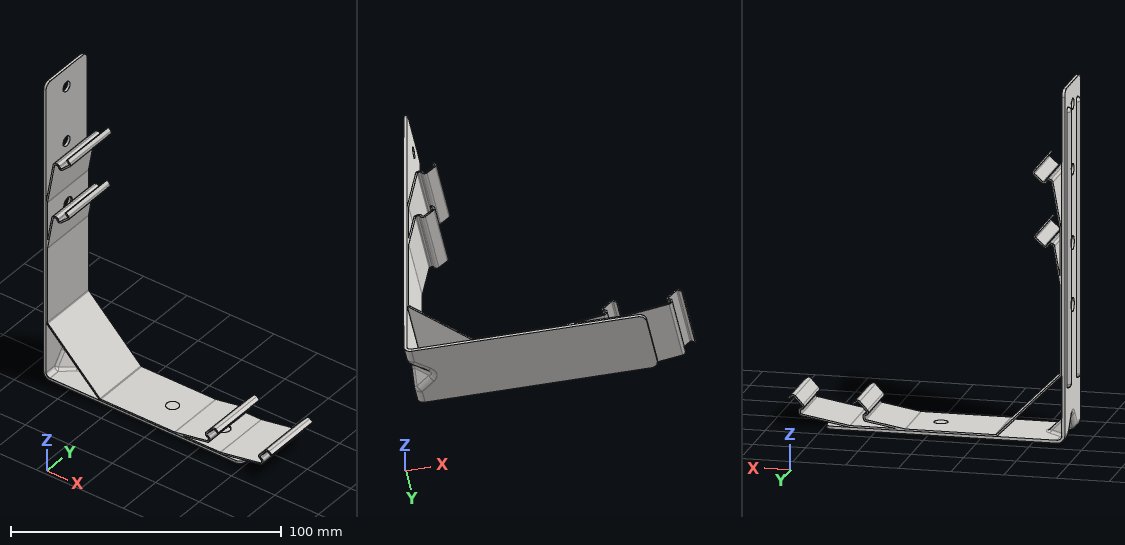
import cadquery as cq
import math

WIDTH = 25.5

UPRIGHT_HEIGHT = 135.4
BASE_LENGTH = 91.0
SHEET = 1.2
BEND_RADIUS = 3.0
CORNER_RADIUS = 2.7

GUSSET_REACH = 9.6
GUSSET_SLOPE = 0.8
GUSSET_TIP_RADIUS = 1.9

BEAD_HEIGHT = 1.2
BEAD_WIDTH = 3.4
BEAD_BOTTOM = 20.0
BEAD_TOP = 127.7
BEAD_OFFSET = 7.6

MOUNTING_HOLE = 4.2
MOUNTING_HEIGHTS = [126.9, 101.8]

CLIP_HOLE = 5.1
INNER_HOLE = 50.0
OUTER_HOLE = 73.6

STRIP = 0.7
DIAGONAL_FOOT = 26.0
INNER_BEND = 60.5
OUTER_BEND = 81.5
INNER_ARM = 15.5
OUTER_ARM = 19.0
ARM_ANGLE = 10.0
ARM_ROOT = 1.4
STRIP_BEND_RADIUS = 0.8

HOOK_STEPS = [(0.4, 1.9), (-2.0, 1.0), (4.2, 4.6), (1.9, -1.5)]

STRIP_MIDDLE = SHEET + STRIP / 2
GUSSET_SHIFT = SHEET * math.sqrt(1 + 2 * GUSSET_SLOPE**2) / GUSSET_SLOPE


def gusset_prism(reach, tip_radius):
    """V-shaped prism that runs diagonally across the corner, from one leg to the other."""
    across = cq.Plane(origin=(0, 0, 0), xDir=(0, 1, 0), normal=(1, 0, -1))
    tip = reach / math.sqrt(2)
    foot = -tip
    half_width = GUSSET_SLOPE * 2 * reach
    prism = (
        cq.Workplane(across)
        .polyline([(-half_width, foot), (half_width, foot), (0, tip)])
        .close()
        .extrude(2 * reach, both=True)
    )
    tip_edge = cq.selectors.NearestToPointSelector((reach / 2, 0, reach / 2))
    return prism.edges(tip_edge).fillet(tip_radius)


def corner_block(inset, reach, tip_radius, bend_radius):
    """Block between the legs, bounded by one skin of the bent and pressed sheet."""
    block = (
        cq.Workplane("XY")
        .box(BASE_LENGTH, WIDTH, UPRIGHT_HEIGHT, centered=(False, True, False))
        .translate((inset, 0, inset))
        .cut(gusset_prism(reach, tip_radius))
    )
    upright_edges = block.faces("<X").edges("not (<Y or >Y or >Z)").vals()
    base_edges = block.faces("<Z").edges("not (<Y or >Y or >X)").vals()
    base_edges = [edge for edge in base_edges if edge.Center().x > inset + SHEET / 10]
    return block.newObject(upright_edges + base_edges).fillet(bend_radius)


def bent_sheet():
    outer = corner_block(0, GUSSET_REACH, GUSSET_TIP_RADIUS, BEND_RADIUS)
    inner = corner_block(
        SHEET, GUSSET_REACH + GUSSET_SHIFT, GUSSET_TIP_RADIUS + SHEET, BEND_RADIUS - SHEET
    )
    sheet = outer.cut(inner)
    sheet = sheet.faces(">Z").edges("|X").fillet(CORNER_RADIUS)
    return sheet.faces(">X").edges("|Z").fillet(CORNER_RADIUS)


def bead(y):
    """Round bar with domed ends, of which only the part outside the upright stands proud."""
    half_width = BEAD_WIDTH / 2
    radius = (half_width**2 + BEAD_HEIGHT**2) / (2 * BEAD_HEIGHT)
    axis_x = radius - BEAD_HEIGHT
    lower = BEAD_BOTTOM + half_width
    upper = BEAD_TOP - half_width
    bar = cq.Workplane("XY", origin=(axis_x, y, lower)).circle(radius).extrude(upper - lower)
    for z in (lower, upper):
        bar = bar.union(cq.Workplane("XY", origin=(axis_x, y, z)).sphere(radius))
    proud_zone = (
        cq.Workplane("XY")
        .box(BEAD_HEIGHT + SHEET / 2, 2 * BEAD_WIDTH, UPRIGHT_HEIGHT, centered=(False, True, False))
        .translate((-BEAD_HEIGHT, y, 0))
    )
    return bar.intersect(proud_zone)


def upright_hole(z, diameter):
    depth = SHEET + STRIP
    return cq.Workplane("YZ", origin=(0, 0, z)).circle(diameter / 2).extrude(depth)


def base_hole(x):
    depth = SHEET + STRIP
    return cq.Workplane("XY", origin=(x, 0, 0)).circle(CLIP_HOLE / 2).extrude(depth)


bracket = bent_sheet()
for side in (-1, 1):
    bracket = bracket.union(bead(side * BEAD_OFFSET))
for height in MOUNTING_HEIGHTS:
    bracket = bracket.cut(upright_hole(height, MOUNTING_HOLE))
for height in (INNER_HOLE, OUTER_HOLE):
    bracket = bracket.cut(upright_hole(height, CLIP_HOLE))


def arm_points(bend, length):
    """Middle line of an arm and its hook, as (along the leg, away from the leg)."""
    along = bend + length
    away = STRIP_MIDDLE + length * math.tan(math.radians(ARM_ANGLE))
    points = [(bend, STRIP_MIDDLE), (along, away)]
    for step_along, step_away in HOOK_STEPS:
        along += step_along
        away += step_away
        points.append((along, away))
    return points


def swept_strip(points):
    corners = [cq.Vector(x, 0, z) for x, z in points]
    line = cq.Wire.makePolygon(corners)
    path = line.fillet(STRIP_BEND_RADIUS, line.Vertices()[1:-1])
    start = cq.Plane(origin=corners[0], xDir=(0, 1, 0), normal=corners[1] - corners[0])
    return cq.Workplane(start).rect(WIDTH, STRIP).sweep(cq.Workplane(obj=path))


def on_upright(points):
    """The same line on the other leg: mirrored about the diagonal of the corner."""
    return [(away, along) for along, away in points]


base_line = [(DIAGONAL_FOOT, STRIP_MIDDLE)] + arm_points(OUTER_BEND, OUTER_ARM)
upright_line = on_upright(base_line)
clip = swept_strip(upright_line[::-1] + base_line)

inner_line = [(INNER_BEND - ARM_ROOT, STRIP_MIDDLE)] + arm_points(INNER_BEND, INNER_ARM)
clip = clip.cut(upright_hole(OUTER_HOLE, CLIP_HOLE)).cut(base_hole(OUTER_HOLE))
for arm_line in (inner_line, on_upright(inner_line)):
    clip = clip.union(swept_strip(arm_line))
clip = clip.cut(base_hole(INNER_HOLE))


plug = cq.Workplane("XY", origin=(INNER_HOLE, 0, SHEET)).circle(CLIP_HOLE / 2).extrude(STRIP)

result = cq.Compound.makeCompound([
    bracket.solids().val(),
    clip.solids().val(),
    plug.solids().val(),
])